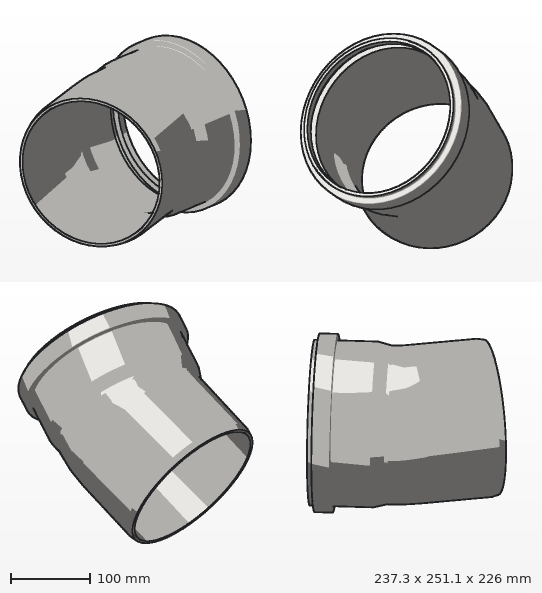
import cadquery as cq

bend_angle = 15.0
pipe_diameter = 200.8
bore_diameter = 189.3
bend_radius = bore_diameter / 2

spigot_length = 101.5
spigot_chamfer_length = 9.0
spigot_tip_diameter = 196.8

socket_diameter = 209.5
socket_bore_diameter = 200.5
ring_diameter = 226.0
groove_diameter = 217.0
cone_start = 4.0
cone_end = 21.3
bore_cone_end = 26.4
ring_start = 72.0
ring_end = 95.5
socket_length = 101.5
ring_fillet = 1.0
ring_wall = (ring_diameter - groove_diameter) / 2

pivot = (bend_radius, 0, 0)
pivot_axis_end = (bend_radius, 0, 1)


def turned(stations):
    """Solid turned about Y from (diameter, height) stations."""
    points = [(diameter / 2, height) for diameter, height in stations]
    first_height = points[0][1]
    last_height = points[-1][1]
    outline = [(0, first_height)] + points + [(0, last_height)]
    return cq.Workplane("XY").polyline(outline).close().revolve(360, (0, 0, 0), (0, 1, 0))


def bend(diameter):
    """Bent rod; the disc is trimmed where it would cross the pivot axis."""
    disc = cq.Sketch().circle(diameter / 2)
    beyond_pivot = cq.Sketch().rect(diameter, 2 * diameter).moved(
        cq.Location(cq.Vector(bend_radius + diameter / 2, 0))
    )
    section = cq.Workplane("XZ").placeSketch(disc.face(beyond_pivot, mode="s"))
    return section.revolve(bend_angle, (bend_radius, 2.5, 0), (bend_radius, 0, 0))


def tilted(body):
    """Carry a body from the start of the bend to its end."""
    return body.rotate(pivot, pivot_axis_end, -bend_angle)


spigot = turned([
    (spigot_tip_diameter, -spigot_length),
    (pipe_diameter, spigot_chamfer_length - spigot_length),
    (pipe_diameter, 0),
])
socket = turned([
    (pipe_diameter, 0),
    (pipe_diameter, cone_start),
    (socket_diameter, cone_end),
    (socket_diameter, ring_start),
    (ring_diameter, ring_start),
    (ring_diameter, ring_end),
    (socket_diameter, ring_end),
    (socket_diameter, socket_length),
])
ring_edges = cq.selectors.BoxSelector(
    (-ring_diameter, ring_start - ring_fillet, -ring_diameter),
    (ring_diameter, ring_end + ring_fillet, ring_diameter),
)
socket = socket.faces(ring_edges).edges("%CIRCLE").fillet(ring_fillet)
outer = spigot.union(bend(pipe_diameter)).union(tilted(socket))

spigot_bore = turned([(bore_diameter, -spigot_length), (bore_diameter, 0)])
socket_bore = turned([
    (bore_diameter, 0),
    (bore_diameter, cone_start),
    (socket_bore_diameter, bore_cone_end),
    (socket_bore_diameter, ring_start + ring_wall),
    (groove_diameter, ring_start + ring_wall),
    (groove_diameter, ring_end - ring_wall),
    (socket_bore_diameter, ring_end - ring_wall),
    (socket_bore_diameter, socket_length),
])
result = outer.cut(spigot_bore).cut(bend(bore_diameter)).cut(tilted(socket_bore))